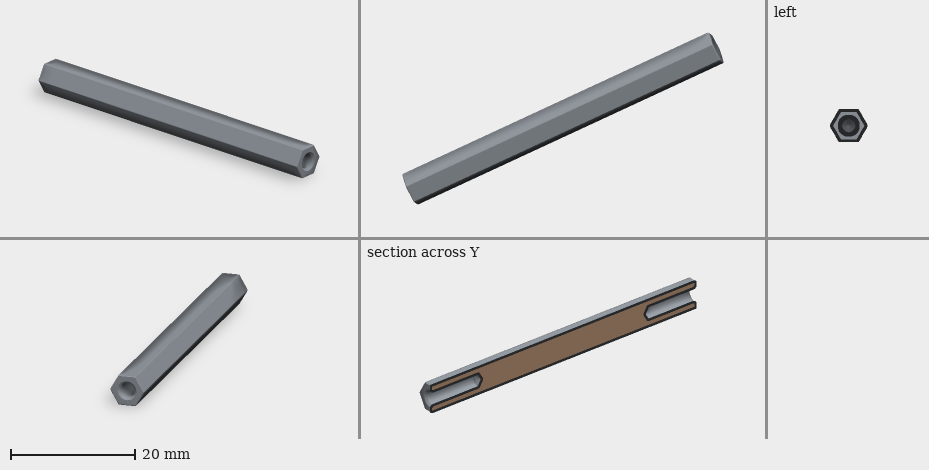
import cadquery as cq
import math

length = 55.0
across_flats = 5.0
corner_diameter = 5.7
end_chamfer = 0.1

hole_diameter = 2.5
countersink_diameter = 3.2
hole_depth = 9.9
countersink_angle = 90.0
drill_point_angle = 120.0


def hexagonal_bar():
    """Hexagon with flats facing +Z and -Z, broken long corners and chamfered end edges."""
    across_corners = across_flats / math.cos(math.radians(30))
    bar = cq.Workplane("YZ").polygon(6, across_corners).extrude(length)
    envelope = cq.Workplane("YZ").circle(corner_diameter / 2).extrude(length)
    bar = bar.intersect(envelope)
    return bar.faces("<X or >X").chamfer(end_chamfer)


def blind_hole():
    """Countersunk hole with a drill point, entering at X = 0."""
    radius = hole_diameter / 2
    rim_radius = countersink_diameter / 2
    countersink_depth = (rim_radius - radius) / math.tan(math.radians(countersink_angle / 2))
    point_length = radius / math.tan(math.radians(drill_point_angle / 2))
    profile = [
        (0, 0),
        (0, rim_radius),
        (countersink_depth, radius),
        (hole_depth, radius),
        (hole_depth + point_length, 0),
    ]
    return cq.Workplane("XY").polyline(profile).close().revolve(360, (0, 0, 0), (1, 0, 0))


near_hole = blind_hole()
far_hole = near_hole.mirror("YZ", (length / 2, 0, 0))

result = hexagonal_bar().cut(near_hole).cut(far_hole)